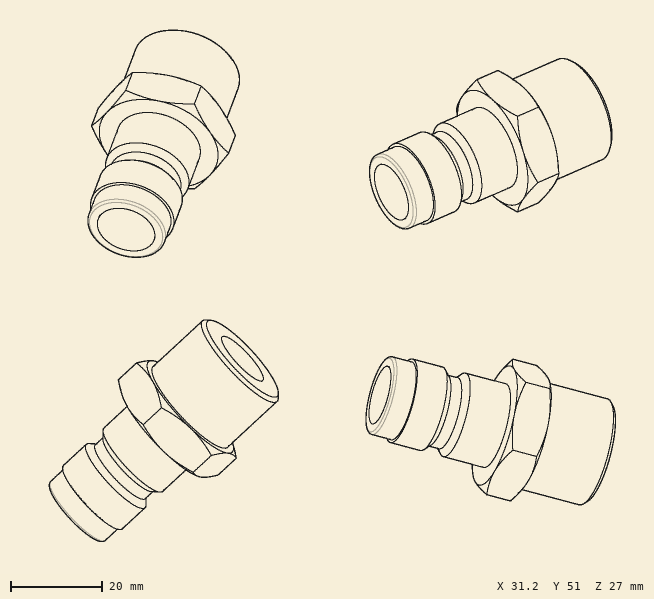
import cadquery as cq
import math

nose_end = 5.05
groove_front_edge = 12.1
groove_floor_start = 13.5
groove_floor_end = 16.05
groove_back_edge = 17.5
hex_start = 27.0
hex_end = 35.0
total_length = 51.0

nose_radius = 8.8
plug_radius = 9.5
groove_radius = 8.05
shank_radius = 12.05
bore_radius = 6.55

across_flats = 27.0
hex_chamfer_angle = 30.0
shank_chamfer = 0.8
nose_rounding = 0.5


def revolve_about_y(profile):
    """Turn a half profile, given as (radius, Y), around the Y axis."""
    return cq.Workplane("XY").polyline(profile).close().revolve(360, (0, 0), (0, 1))


def turned_plug():
    """Nose, grooved plug section and core running up to the hexagon."""
    profile = [
        (0, 0),
        (nose_radius, 0),
        (nose_radius, nose_end),
        (plug_radius, nose_end),
        (plug_radius, groove_front_edge),
        (groove_radius, groove_floor_start),
        (groove_radius, groove_floor_end),
        (plug_radius, groove_back_edge),
        (plug_radius, hex_end),
        (0, hex_end),
    ]
    return revolve_about_y(profile).faces("<Y").edges().fillet(nose_rounding)


def shank():
    """Plain cylindrical end with a chamfered rim."""
    profile = [
        (0, hex_start),
        (shank_radius, hex_start),
        (shank_radius, total_length - shank_chamfer),
        (shank_radius - shank_chamfer, total_length),
        (0, total_length),
    ]
    return revolve_about_y(profile)


def hexagon():
    """Hexagon with corners on the X axis, cone-chamfered at both faces."""
    across_corners = across_flats / math.cos(math.radians(30))
    flat_radius = across_flats / 2
    corner_radius = across_corners / 2
    corner_drop = (corner_radius - flat_radius) * math.tan(math.radians(hex_chamfer_angle))
    prism = (
        cq.Workplane("XZ", origin=(0, hex_start, 0))
        .polygon(6, across_corners)
        .extrude(hex_start - hex_end)
    )
    envelope = revolve_about_y([
        (0, hex_start),
        (flat_radius, hex_start),
        (corner_radius, hex_start + corner_drop),
        (corner_radius, hex_end - corner_drop),
        (flat_radius, hex_end),
        (0, hex_end),
    ])
    return prism.intersect(envelope)


def through_bore():
    """Cylinder removed along the full length."""
    return cq.Workplane("XZ").circle(bore_radius).extrude(-total_length)


result = turned_plug().union(shank()).union(hexagon()).cut(through_bore())